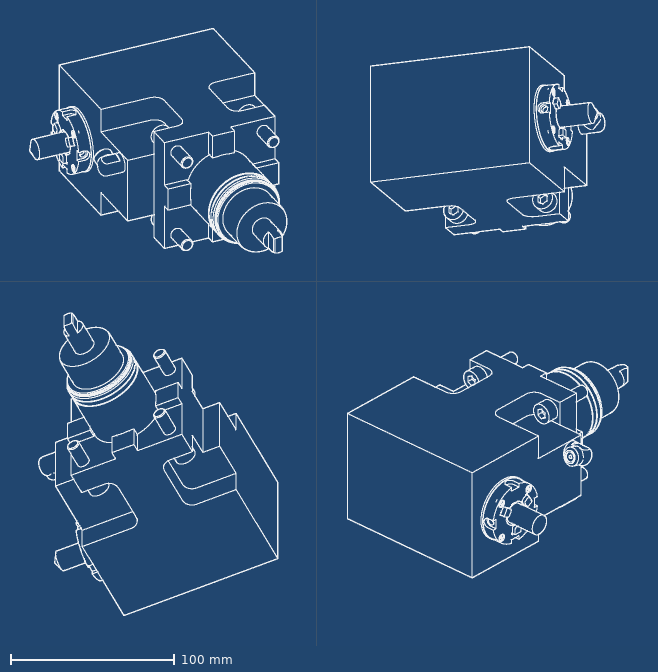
import cadquery as cq
import math


hexagon_sides = 6

flange_size = 75.0
half_flange = flange_size / 2
flange_thickness = 15.0
housing_left = -113.2
housing_front = -55.3
housing_back = 49.0
back_step_x = -29.8

pocket_left = -53.3
pocket_inner_y = 15.6
pocket_depth = 16.0
pocket_radius = 6.5

key_count = 4
key_width = 15.0
key_height = 5.3
key_inner = 22.1

spigot_radius = 22.5
ring_groove_start = 31.2
ring_groove_end = 35.0
ring_radius = 22.0
spigot_land_end = 39.0
land_chamfer = 0.8
collar_neck_radius = 20.3
collar_radius = 21.3
collar_start = 39.5
collar_end = 41.0
collar_chamfer = 0.5
nose_radius = 17.4
nose_end = 60.5
nose_bevel_length = 1.4
nose_bevel_depth = 0.4
shaft_radius = 6.5
shaft_end = 84.3
tang_start = 76.2
tang_thickness = 6.0
shaft_taper_length = 4.0
shaft_taper_depth = 1.0
tang_bevel_length = 1.2
tang_bevel_depth = 0.4

bolt_offset = 29.2
bolt_radius = 4.0
bolt_end = 15.5
bolt_end_chamfer = 0.5
bolt_head_radius = 6.5
bolt_head_height = 7.7
bolt_socket_flats = 6.0
bolt_socket_depth = 4.0

spindle_x = -84.7
rim_radius = 20.5
rim_thickness = 1.4
disc_radius = 20.1
disc_thickness = 9.7
clearance_radius = 7.9
clearance_depth = 0.8
tool_radius = 6.5
tool_shoulder = 29.8
tool_tip = 33.5

jaw_count = 3
jaw_first_angle = 30
jaw_width = 5.5
jaw_inner = 8.0
jaw_outer = 13.0
jaw_height = 2.4
jaw_corner_radius = 1.5
jaw_slot_outer = 14.0

spanner_slot_count = 4
spanner_slot_width = 6.5
spanner_slot_center = 5.5
spanner_slot_floor = 17.4
spanner_hole_radius = 2.2
spanner_hole_depth = 3.0
spanner_hole_angles = (90, 270)

screw_count = 4
screw_first_angle = 45
screw_circle_radius = 17.2
screw_recess_radius = 2.4
screw_recess_depth = 3.0
screw_head_radius = 2.0
screw_head_height = 2.4
screw_socket_flats = 1.8
screw_socket_depth = 1.2

elbow_x = -24.7
elbow_z = 15.0
elbow_radius = 6.1
elbow_length = 14.5
elbow_end_radius = 3.5
elbow_flat_distance = 5.1
elbow_flat_start = 2.8
outlet_tilt = 15.0
outlet_drop = 8.3
outlet_radius = 6.0
outlet_length = 9.7
outlet_chamfer_length = 1.2
outlet_face_radius = 4.1
outlet_recess_radius = 3.2
outlet_recess_depth = 0.4
outlet_hole_radius = 1.0
outlet_hole_depth = 5.0


def cylinder_x(radius, start, end, y, z):
    """Cylinder along X from start to end."""
    return cq.Workplane("YZ", origin=(start, y, z)).circle(radius).extrude(end - start)


def front_plane(distance):
    """Plane at a distance in front of the housing, centered on the tool axis, facing -Y."""
    return cq.Workplane("XZ", origin=(spindle_x, housing_front - distance, 0))


def turn_about_tool(shape, angle):
    """Turn a shape about the tool axis."""
    return shape.rotate((spindle_x, 0, 0), (spindle_x, -1, 0), angle)


def make_housing():
    outline = [
        (housing_left, housing_front),
        (-flange_thickness, housing_front),
        (-flange_thickness, -half_flange),
        (0, -half_flange),
        (0, half_flange),
        (back_step_x, half_flange),
        (back_step_x, housing_back),
        (housing_left, housing_back),
    ]
    housing = cq.Workplane("XY", origin=(0, 0, -half_flange)).polyline(outline).close().extrude(flange_size)

    pocket_length = -flange_thickness - pocket_left
    pocket_reach = 2 * housing_back
    for side_y in (-1, 1):
        for side_z in (-1, 1):
            pocket = (
                cq.Workplane("XY")
                .box(pocket_length, pocket_reach, 2 * pocket_depth)
                .edges("|Z")
                .fillet(pocket_radius)
                .translate((
                    pocket_left + pocket_length / 2,
                    side_y * (pocket_inner_y + pocket_reach / 2),
                    side_z * half_flange,
                ))
            )
            housing = housing.cut(pocket)
    return housing


def make_flange_keys():
    key_center = (key_inner + half_flange) / 2
    keys = cq.Workplane("YZ").polarArray(key_center, 0, 360, key_count)
    return keys.rect(half_flange - key_inner, key_width).extrude(key_height)


def make_spigot():
    profile = [
        (0, 0),
        (0, spigot_radius),
        (ring_groove_start, spigot_radius),
        (ring_groove_start, ring_radius),
        (ring_groove_end, ring_radius),
        (ring_groove_end, spigot_radius),
        (spigot_land_end - land_chamfer, spigot_radius),
        (spigot_land_end, spigot_radius - land_chamfer),
        (spigot_land_end, collar_neck_radius),
        (collar_start, collar_neck_radius),
        (collar_start, collar_radius),
        (collar_end - collar_chamfer, collar_radius),
        (collar_end, collar_radius - collar_chamfer),
        (collar_end, nose_radius),
        (nose_end - nose_bevel_length, nose_radius),
        (nose_end, nose_radius - nose_bevel_depth),
        (nose_end, shaft_radius),
        (shaft_end - shaft_taper_length, shaft_radius),
        (shaft_end, shaft_radius - shaft_taper_depth),
        (shaft_end, 0),
    ]
    spigot = cq.Workplane("XY").polyline(profile).close().revolve(360, (0, 0, 0), (1, 0, 0))

    half_tang = tang_thickness / 2
    flat_profile = [
        (tang_start, half_tang),
        (shaft_end - tang_bevel_length, half_tang),
        (shaft_end, half_tang - tang_bevel_depth),
        (shaft_end, spigot_radius),
        (tang_start, spigot_radius),
    ]
    flat = cq.Workplane("XY").polyline(flat_profile).close().extrude(spigot_radius, both=True)
    return spigot.cut(flat).cut(flat.mirror("XZ"))


def make_bolt(y, z):
    head_start = -flange_thickness - bolt_head_height
    shank = cylinder_x(bolt_radius, -flange_thickness, bolt_end, y, z).faces(">X").chamfer(bolt_end_chamfer)
    head = cylinder_x(bolt_head_radius, head_start, -flange_thickness, y, z)
    socket = (
        cq.Workplane("YZ", origin=(head_start, y, z))
        .polygon(hexagon_sides, bolt_socket_flats, circumscribed=True)
        .extrude(bolt_socket_depth)
    )
    return head.cut(socket).union(shank)


def make_spindle_nose():
    nose = front_plane(0).circle(rim_radius).extrude(rim_thickness)
    nose = nose.union(front_plane(0).circle(disc_radius).extrude(disc_thickness))

    slot_height = rim_radius - spanner_slot_floor
    slot_length = disc_thickness - spanner_slot_center
    slot_y = housing_front - spanner_slot_center
    slot_plane = cq.Workplane("XY", origin=(spindle_x, slot_y, spanner_slot_floor))
    slot = slot_plane.circle(spanner_slot_width / 2).extrude(slot_height)
    slot_mouth = slot_plane.center(0, -slot_length / 2).rect(spanner_slot_width, slot_length)
    slot = slot.union(slot_mouth.extrude(slot_height))
    hole = slot_plane.circle(spanner_hole_radius).extrude(-spanner_hole_depth)
    for index in range(spanner_slot_count):
        nose = nose.cut(turn_about_tool(slot, 360 / spanner_slot_count * index))
    for angle in spanner_hole_angles:
        nose = nose.cut(turn_about_tool(hole, angle))

    recess_bottom = disc_thickness - screw_recess_depth
    head_top = recess_bottom + screw_head_height
    recess = front_plane(recess_bottom).center(screw_circle_radius, 0)
    recess = recess.circle(screw_recess_radius).extrude(screw_recess_depth)
    head = front_plane(recess_bottom).center(screw_circle_radius, 0)
    head = head.circle(screw_head_radius).extrude(screw_head_height)
    socket = front_plane(head_top).center(screw_circle_radius, 0)
    socket = socket.polygon(hexagon_sides, screw_socket_flats, circumscribed=True).extrude(-screw_socket_depth)
    head = head.cut(socket)
    for index in range(screw_count):
        angle = screw_first_angle + 360 / screw_count * index
        nose = nose.cut(turn_about_tool(recess, angle)).union(turn_about_tool(head, angle))

    clearance = front_plane(disc_thickness).circle(clearance_radius).extrude(-clearance_depth)
    nose = nose.cut(clearance)

    jaw_base = disc_thickness - clearance_depth
    jaw_slot_length = jaw_slot_outer - jaw_inner
    jaw_slot = front_plane(jaw_base).center(jaw_inner + jaw_slot_length / 2, 0)
    jaw_slot = jaw_slot.rect(jaw_slot_length, jaw_width).extrude(clearance_depth)
    jaw_slot = jaw_slot.edges("|Y and <X").fillet(jaw_corner_radius)
    jaw_length = jaw_outer - jaw_inner
    jaw = front_plane(jaw_base).center(jaw_inner + jaw_length / 2, 0)
    jaw = jaw.rect(jaw_length, jaw_width).extrude(clearance_depth + jaw_height)
    jaw = jaw.edges("|Y and <X").fillet(jaw_corner_radius)
    for index in range(jaw_count):
        angle = jaw_first_angle + 360 / jaw_count * index
        nose = nose.cut(turn_about_tool(jaw_slot, angle)).union(turn_about_tool(jaw, angle))
    return nose


def make_tool():
    profile = [
        (spindle_x, housing_front),
        (spindle_x + tool_radius, housing_front),
        (spindle_x + tool_radius, housing_front - tool_shoulder),
        (spindle_x, housing_front - tool_tip),
    ]
    axis_start = (spindle_x, 0, 0)
    axis_end = (spindle_x, 1, 0)
    return cq.Workplane("XY").polyline(profile).close().revolve(360, axis_start, axis_end)


def make_coolant_elbow():
    body = cq.Workplane("XZ").circle(elbow_radius).extrude(elbow_length)
    body = body.faces("<Y").edges().fillet(elbow_end_radius)
    outlet_profile = [
        (0, 0),
        (0, outlet_radius),
        (outlet_chamfer_length - outlet_length, outlet_radius),
        (-outlet_length, outlet_face_radius),
        (-outlet_length, 0),
    ]
    outlet = cq.Workplane("XY").polyline(outlet_profile).close().revolve(360, (0, 0, 0), (1, 0, 0))
    outlet = outlet.translate((0, -outlet_drop, 0))

    flat_length = elbow_length - elbow_flat_start
    flat_half_width = math.sqrt(elbow_radius**2 - elbow_flat_distance**2)
    flat = cq.Workplane("XY", origin=(0, -elbow_flat_start - flat_length / 2, elbow_flat_distance))
    flat = flat.rect(2 * flat_half_width, flat_length).extrude(elbow_radius)

    mouth = cq.Workplane("YZ", origin=(-outlet_length, -outlet_drop, 0))
    recess = mouth.circle(outlet_recess_radius).extrude(outlet_recess_depth)
    hole = mouth.circle(outlet_hole_radius).extrude(outlet_hole_depth)
    elbow = body.union(outlet).cut(flat).cut(recess).cut(hole)
    return elbow.rotate((0, 0, 0), (0, 1, 0), outlet_tilt).translate((elbow_x, housing_front, elbow_z))


result = make_housing().union(make_flange_keys()).union(make_spigot())
for bolt_y in (-bolt_offset, bolt_offset):
    for bolt_z in (-bolt_offset, bolt_offset):
        result = result.union(make_bolt(bolt_y, bolt_z))
result = result.union(make_spindle_nose()).union(make_tool()).union(make_coolant_elbow())